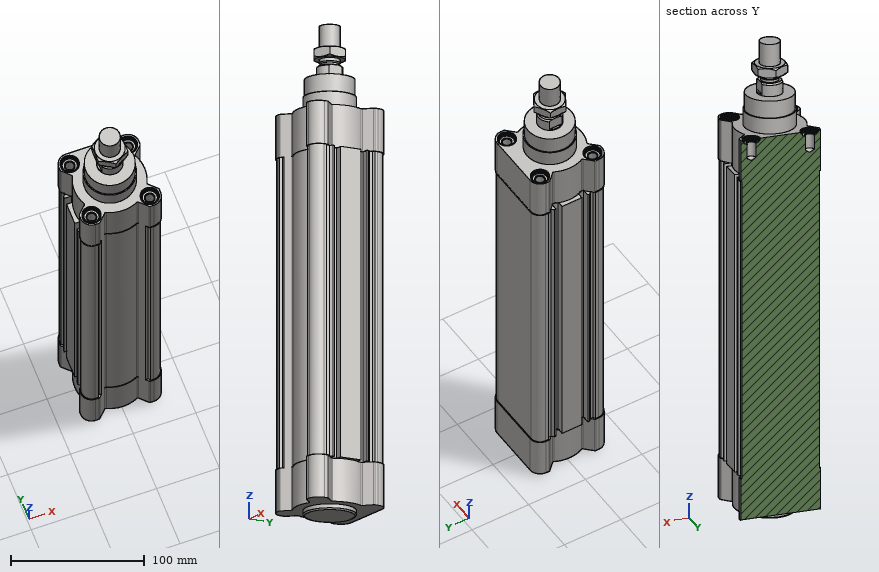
import cadquery as cq
import math

total_height = 377.8
spigot_height = 4.0
cap_height = 33.2
tube_base = spigot_height + cap_height
tube_top = 277.3
cap_top = tube_top + cap_height
collar_top = 323.0
bearing_top = 336.5
shoulder_top = 347.0
neck_top = 348.7
nut_base = 352.0

cap_width = 64.0
bolt_pitch = 46.5
bolt_offset = bolt_pitch / 2
lobe_mouth = 20.0
lobe_edge_fillet = 1.5
cap_waist_radius = 28.0
waist_fillet = 1.0
collar_diameter = 40.0
bearing_diameter = 38.0
spigot_chamfer = 1.0

socket_steps = [(14.5, 0.8), (13.2, 1.5), (12.0, 2.3), (11.5, 3.0), (8.0, 3.8), (6.8, 15.0)]
drill_point_angle = 118.0

tube_width = 62.5
tube_waist_radius = 27.5
slot_inner = 8.7
slot_outer = 14.0
slot_depth = 6.0
groove_outer = 20.8
groove_depth = 2.0
groove_wall_angle = 60.0

rod_diameter = 20.0
rod_flats = 16.5
rod_flat_base = bearing_top + 1.0
shoulder_chamfer = 1.0
neck_diameter = 14.0
thread_diameter = 16.0

nut_height = 8.0
nut_across_flats = 23.8
nut_chamfer_diameter = 23.0
nut_chamfer_angle = 30.0

lobe_wall_apex = cap_width / 2 - lobe_mouth

match_tolerance = 0.05

FRONT = 0
RIGHT = 90
LEFT = -90


def prism(points, base, height):
    """Upright prism over a closed polygon."""
    return cq.Workplane("XY").workplane(offset=base).polyline(points).close().extrude(height)


def disc(diameter, base, top):
    """Upright cylinder on the Z axis."""
    return cq.Workplane("XY").workplane(offset=base).circle(diameter / 2).extrude(top - base)


def cut_side(body, tool, side):
    """Cut a tool that is shaped for the front out of the given side."""
    return body.cut(tool.rotate((0, 0, 0), (0, 0, 1), side))


def cut_waist(body, side, waist_radius, base, height):
    """Cut one side back to the round waist, between two lobe walls, and round the waist corners."""
    reach = cap_width
    far_edge = -lobe_wall_apex - reach
    mouth = prism([(0, -lobe_wall_apex), (reach, far_edge), (-reach, far_edge)], base, height)
    mouth = mouth.cut(disc(2 * waist_radius, base, base + height))

    def is_waist_corner(edge):
        centre = edge.Center()
        return math.isclose(math.hypot(centre.x, centre.y), waist_radius, abs_tol=match_tolerance)

    mouth = mouth.edges("|Z").filter(is_waist_corner).fillet(waist_fillet)
    return cut_side(body, mouth, side)


def is_lobe_edge(edge):
    centre = edge.Center()
    return math.isclose(min(abs(centre.x), abs(centre.y)), lobe_mouth, abs_tol=match_tolerance)


def rounded_block(width, base, height):
    """Square block with its corners rounded around the screw axes."""
    block = cq.Workplane("XY").workplane(offset=base).rect(width, width).extrude(height)
    return block.edges("|Z").fillet(width / 2 - bolt_offset)


def make_cap(base):
    """End cap with a waist on three sides and rounded lobe edges."""
    cap = rounded_block(cap_width, base, cap_height)
    for side in (FRONT, RIGHT, LEFT):
        cap = cut_waist(cap, side, cap_waist_radius, base, cap_height)
    return cap.edges("|Z").filter(is_lobe_edge).fillet(lobe_edge_fillet)


def make_tube():
    """Profiled tube: a waist in front, grooves beside the lobes, sensor slots left and right."""
    height = tube_top - tube_base
    face = tube_width / 2
    floor = face - groove_depth
    wall_run = groove_depth / math.tan(math.radians(groove_wall_angle))
    groove_inner_floor = floor - lobe_wall_apex
    groove = [
        (groove_outer, -face),
        (groove_outer - wall_run, -floor),
        (groove_inner_floor, -floor),
        (groove_inner_floor - groove_depth, -face),
    ]
    slot = [
        (slot_inner, -face),
        (slot_outer, -face),
        (slot_outer, slot_depth - face),
        (slot_inner, slot_depth - face),
    ]

    tube = rounded_block(tube_width, tube_base, height)
    tube = cut_waist(tube, FRONT, tube_waist_radius, tube_base, height)
    for hand in (1, -1):
        groove_tool = prism([(hand * x, y) for x, y in groove], tube_base, height)
        slot_tool = prism([(hand * x, y) for x, y in slot], tube_base, height)
        for side in (FRONT, RIGHT, LEFT):
            tube = cut_side(tube, groove_tool, side)
        for side in (RIGHT, LEFT):
            tube = cut_side(tube, slot_tool, side)
    return tube


def make_screw_socket():
    """Stepped screw socket with a drill point, sunk below the origin."""
    outline = [(0, 0)]
    depth_above = 0
    for diameter, depth in socket_steps:
        outline += [(diameter / 2, -depth_above), (diameter / 2, -depth)]
        depth_above = depth
    tip_radius = socket_steps[-1][0] / 2
    tip_length = tip_radius / math.tan(math.radians(drill_point_angle / 2))
    outline.append((0, -depth_above - tip_length))
    return cq.Workplane("XZ").polyline(outline).close().revolve(360, (0, 0), (0, 1))


def make_housing():
    """Tube, both end caps, rear spigot and rod bearing, with sockets and the rod bore."""
    housing = make_tube()
    for base in (spigot_height, tube_top):
        housing = housing.union(make_cap(base))
    spigot = disc(collar_diameter, 0, spigot_height).faces("<Z").chamfer(spigot_chamfer)
    housing = housing.union(spigot)
    housing = housing.union(disc(collar_diameter, cap_top, collar_top))
    housing = housing.union(disc(bearing_diameter, collar_top, bearing_top))
    socket = make_screw_socket()
    for x in (-bolt_offset, bolt_offset):
        for y in (-bolt_offset, bolt_offset):
            housing = housing.cut(socket.translate((x, y, cap_top)))
    return housing.cut(disc(rod_diameter, tube_top, bearing_top))


def make_rod():
    """Piston rod with two wrench flats on its shoulder, a neck and a thread-sized end."""
    shoulder = disc(rod_diameter, tube_top, shoulder_top).faces(">Z").chamfer(shoulder_chamfer)
    for x in (-1, 1):
        flat_cut = (
            cq.Workplane("XY").workplane(offset=rod_flat_base)
            .center(x * (rod_flats + rod_diameter) / 2, 0)
            .rect(rod_diameter, rod_diameter).extrude(shoulder_top - rod_flat_base)
        )
        shoulder = shoulder.cut(flat_cut)
    neck = disc(neck_diameter, shoulder_top, neck_top)
    runout = (thread_diameter - neck_diameter) / 2
    thread = disc(thread_diameter, neck_top, total_height).faces("<Z").chamfer(runout)
    return shoulder.union(neck).union(thread)


def make_nut():
    """Hexagon nut with flats facing left and right and both ends chamfered."""
    corner_diameter = nut_across_flats / math.cos(math.pi / 6)
    hexagon = (
        cq.Workplane("XY").workplane(offset=nut_base).transformed(rotate=(0, 0, 90))
        .polygon(6, corner_diameter).extrude(nut_height)
    )
    chamfer_run = (corner_diameter - nut_chamfer_diameter) / 2
    chamfer_rise = chamfer_run * math.tan(math.radians(nut_chamfer_angle))
    turned_blank = disc(corner_diameter, nut_base, nut_base + nut_height)
    turned_blank = turned_blank.faces("<Z or >Z").chamfer(chamfer_rise, chamfer_run)
    return hexagon.intersect(turned_blank).cut(disc(thread_diameter, nut_base, nut_base + nut_height))


housing = make_housing()
rod = make_rod()
nut = make_nut()
result = cq.Compound.makeCompound([housing.val(), rod.val(), nut.val()])